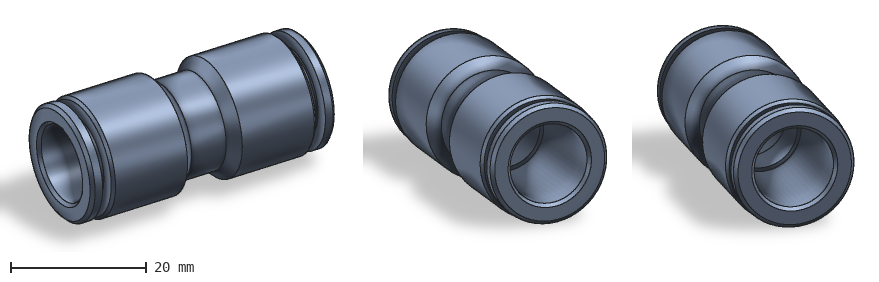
import cadquery as cq

length = 42.0
half_length = length / 2

collar_diameter = 18.5
collar_width = 1.85
collar_chamfer = 0.55
neck_diameter = 13.85
neck_length = 1.6
neck_chamfer = 0.2

body_diameter = 19.0
body_chamfer = 0.45
waist_diameter = 15.55
waist_length = 5.95
cone_length = 1.72

socket_diameter = 12.2
socket_mouth_chamfer = 0.5
stop_bore_diameter = 11.0
stop_length = waist_length

collar_radius = collar_diameter / 2
neck_radius = neck_diameter / 2
body_radius = body_diameter / 2
waist_radius = waist_diameter / 2
socket_radius = socket_diameter / 2
stop_radius = stop_bore_diameter / 2

collar_inner_y = half_length - collar_width
body_end_y = collar_inner_y - neck_length
waist_end_y = waist_length / 2
cone_end_y = waist_end_y + cone_length
stop_end_y = stop_length / 2

half_section = [
    (waist_radius, waist_end_y),
    (body_radius, cone_end_y),
    (body_radius, body_end_y - body_chamfer),
    (body_radius - body_chamfer, body_end_y),
    (neck_radius, body_end_y),
    (neck_radius, collar_inner_y - neck_chamfer),
    (neck_radius + neck_chamfer, collar_inner_y),
    (collar_radius, collar_inner_y),
    (collar_radius, half_length - collar_chamfer),
    (collar_radius - collar_chamfer, half_length),
    (socket_radius + socket_mouth_chamfer, half_length),
    (socket_radius, half_length - socket_mouth_chamfer),
    (socket_radius, stop_end_y),
    (stop_radius, stop_end_y),
]

mirrored_section = [(radius, -y) for radius, y in reversed(half_section)]

result = (
    cq.Workplane("XY")
    .polyline(half_section + mirrored_section)
    .close()
    .revolve(360, (0, 0, 0), (0, 1, 0))
)